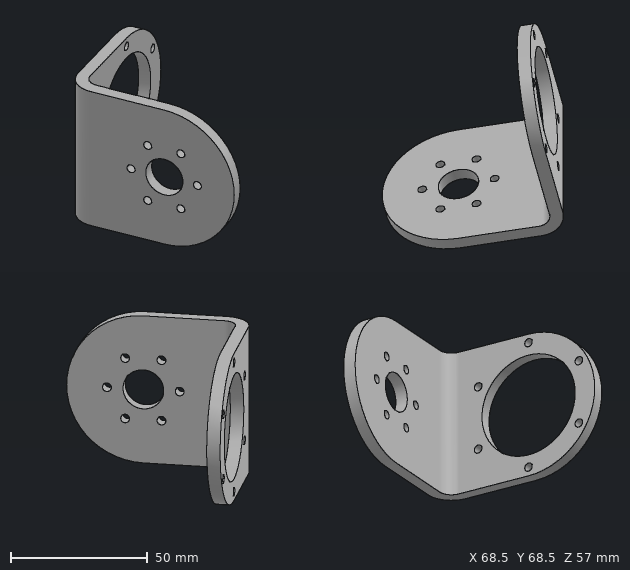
import cadquery as cq

leg_length = 68.5
width = 57.0
thickness = 5.0
outer_bend_radius = 10.0
hole_count = 6
screw_diameter = 3.2

shaft_diameter = 15.0
shaft_bolt_radius = 13.5
shaft_first_angle = 0

motor_diameter = 40.0
motor_bolt_radius = 25.0
motor_first_angle = 90

end_radius = width / 2
end_center = leg_length - end_radius
inner_bend_radius = outer_bend_radius - thickness


def bent_strip():
    """L-shaped strip with its outer corner on the Z axis, centred on Z = 0."""
    strip = (
        cq.Workplane("XY")
        .moveTo(0, 0)
        .lineTo(leg_length, 0)
        .lineTo(leg_length, thickness)
        .lineTo(thickness, thickness)
        .lineTo(thickness, leg_length)
        .lineTo(0, leg_length)
        .close()
        .extrude(width / 2, both=True)
    )
    strip = strip.edges(cq.selectors.NearestToPointSelector((0, 0, 0))).fillet(outer_bend_radius)
    inner_corner = (thickness, thickness, 0)
    return strip.edges(cq.selectors.NearestToPointSelector(inner_corner)).fillet(inner_bend_radius)


def rounded_leg_outline(plane):
    """Full-height prism along one leg, ending in a half round."""
    return (
        cq.Workplane(plane)
        .moveTo(0, -end_radius)
        .lineTo(end_center, -end_radius)
        .threePointArc((leg_length, 0), (end_center, end_radius))
        .lineTo(0, end_radius)
        .close()
        .extrude(leg_length, both=True)
    )


def leg_holes(plane, opening_diameter, bolt_radius, first_angle):
    """Central opening and its ring of screw holes, running through one leg."""
    base = cq.Workplane(plane).center(end_center, 0)
    opening = base.circle(opening_diameter / 2).extrude(thickness, both=True)
    screws = (
        base.polarArray(bolt_radius, first_angle, 360, hole_count)
        .circle(screw_diameter / 2)
        .extrude(thickness, both=True)
    )
    return opening.union(screws)


result = bent_strip()
result = result.intersect(rounded_leg_outline("XZ"))
result = result.intersect(rounded_leg_outline("YZ"))
result = result.cut(leg_holes("XZ", shaft_diameter, shaft_bolt_radius, shaft_first_angle))
result = result.cut(leg_holes("YZ", motor_diameter, motor_bolt_radius, motor_first_angle))